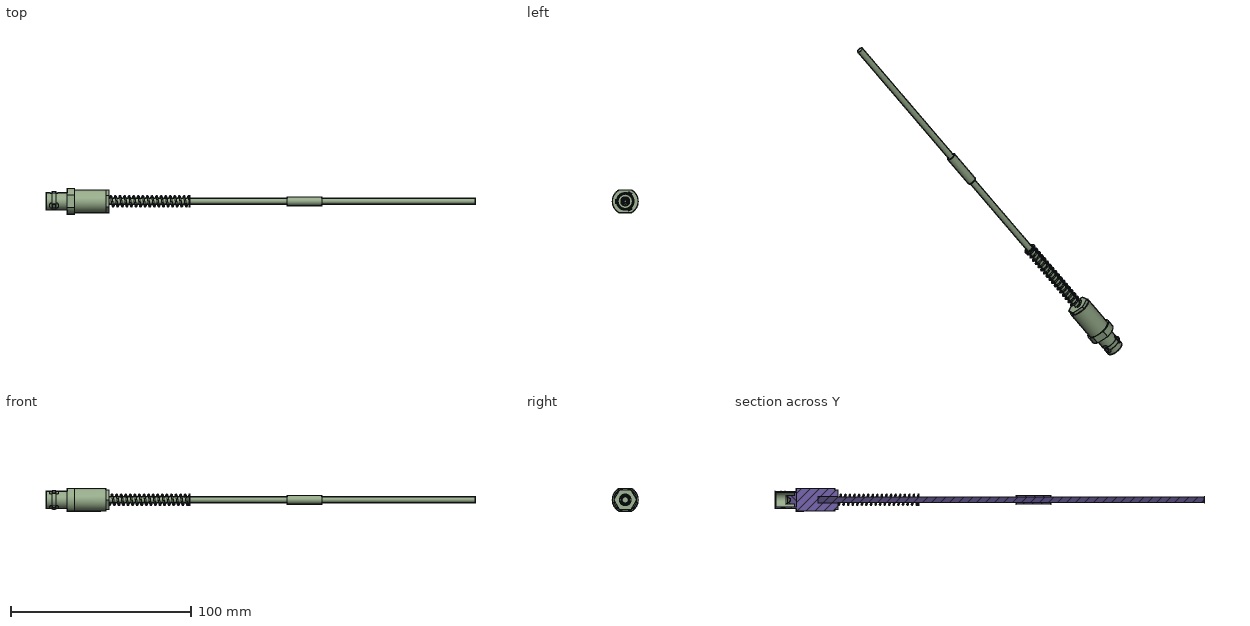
import cadquery as cq

total_length = 238.38

housing_diameter = 12.7
flange_diameter = 14.45
barrel_diameter = 9.7
flange_start = 11.6
flange_end = 15.8
housing_end = 33.2
hex_end = 34.9
hex_sides = 6

bore_diameter = 7.9
bore_chamfer = 0.35
bore_depth = flange_start
insert_diameter = 5.0
insert_front = 6.0
insert_base_thickness = 1.0
socket_diameters = (4.0, 2.8, 1.4)
socket_step = 0.8

stud_count = 3
stud_diameter = 2.2
stud_tip_radius = 5.5
stud_center = 4.35
stud_seat_diameter = 5.0
stud_seat_depth = 0.25
groove_depth = 0.15

cable_diameter = 3.5
cable_start = 24.0
sleeve_diameter = 5.0
sleeve_start = 133.8
sleeve_end = 153.2

spring_end = 80.0
spring_pitch = 2.54
wire_diameter = 0.8
ring_diameter = 6.4
ring_width = wire_diameter
ring_margin = 0.05


def tube(outer_diameter, inner_diameter, start, end):
    """Hollow cylinder on the X axis between two stations."""
    wall = (outer_diameter - inner_diameter) / 2
    wall_radius = (outer_diameter + inner_diameter) / 4
    section = cq.Workplane("XZ").center((start + end) / 2, wall_radius).rect(end - start, wall)
    return section.revolve(360, (0, -wall_radius, 0), (1, -wall_radius, 0))


def rod(diameter, start, end):
    """Solid cylinder on the X axis between two stations."""
    return tube(diameter, 0, start, end)


def radial_cylinder(diameter, inner_radius, outer_radius, angle):
    """Cylinder pointing out from the X axis at the stud station, turned from +Y by an angle."""
    cylinder = (
        cq.Workplane("XZ", origin=(stud_center, inner_radius, 0))
        .circle(diameter / 2)
        .extrude(inner_radius - outer_radius)
    )
    return cylinder.rotate((0, 0, 0), (1, 0, 0), angle)


def make_barrel():
    """Jack barrel with a chamfered mouth, a shallow groove and three bayonet studs."""
    barrel = tube(barrel_diameter, bore_diameter, 0, flange_start)
    mouth = barrel.faces("<X").edges(cq.selectors.RadiusNthSelector(0))
    barrel = mouth.chamfer(bore_chamfer)

    groove = tube(
        2 * stud_tip_radius,
        barrel_diameter - 2 * groove_depth,
        stud_center - stud_diameter / 2,
        stud_center + stud_diameter / 2,
    )
    barrel = barrel.cut(groove)

    seat_radius = barrel_diameter / 2 - stud_seat_depth
    stud_root_radius = (barrel_diameter + bore_diameter) / 4
    for i in range(stud_count):
        angle = i * 360 / stud_count
        seat = radial_cylinder(stud_seat_diameter, seat_radius, stud_tip_radius, angle)
        stud = radial_cylinder(stud_diameter, stud_root_radius, stud_tip_radius, angle)
        barrel = barrel.cut(seat).union(stud)
    return barrel


def make_flange():
    """Round flange cut by two flats level with the top and bottom of the housing."""
    length = flange_end - flange_start
    flats = cq.Workplane("XY", origin=((flange_start + flange_end) / 2, 0, 0)).box(
        length, flange_diameter, housing_diameter
    )
    return rod(flange_diameter, flange_start, flange_end).intersect(flats)


def make_rear_housing():
    """Round housing closed by a hexagonal end whose corners meet the housing diameter."""
    housing = rod(housing_diameter, flange_start, housing_end)
    hexagon = (
        cq.Workplane("YZ", origin=(housing_end, 0, 0))
        .polygon(hex_sides, housing_diameter)
        .extrude(hex_end - housing_end)
    )
    return housing.union(hexagon)


def make_connector():
    """Barrel, flange and housing in one piece, with a hole in the rear for the cable."""
    body = make_barrel().union(make_flange()).union(make_rear_housing())
    return body.cut(rod(cable_diameter, cable_start, hex_end))


def make_insert():
    """Contact insert: a base disc filling the bore and a post with a stepped socket."""
    insert = rod(bore_diameter, bore_depth - insert_base_thickness, bore_depth)
    insert = insert.union(rod(insert_diameter, insert_front, bore_depth))
    for i, diameter in enumerate(socket_diameters):
        socket_bottom = insert_front + (i + 1) * socket_step
        insert = insert.cut(rod(diameter, insert_front, socket_bottom))
    return insert


def make_spring():
    """Right-handed coil of round wire running into a plain ring at its far end."""
    coil_radius = (ring_diameter - wire_diameter) / 2 - ring_margin
    coil_start = hex_end + wire_diameter / 2
    coil_length = spring_end - ring_width / 2 - coil_start
    helix = cq.Wire.makeHelix(spring_pitch, coil_length, coil_radius)
    coil = (
        cq.Workplane("XZ", origin=(coil_radius, 0, 0))
        .circle(wire_diameter / 2)
        .sweep(cq.Workplane(helix), isFrenet=True)
        .rotate((0, 0, 0), (0, 1, 0), 90)
        .translate((coil_start, 0, 0))
    )
    ring_wall = wire_diameter + 2 * ring_margin
    ring = tube(ring_diameter, ring_diameter - 2 * ring_wall, spring_end - ring_width, spring_end)
    return coil.union(ring)


connector = make_connector()
insert = make_insert()
cable = rod(cable_diameter, cable_start, total_length)
sleeve = tube(sleeve_diameter, cable_diameter, sleeve_start, sleeve_end)
spring = make_spring()

result = cq.Compound.makeCompound(
    [connector.val(), insert.val(), cable.val(), sleeve.val(), spring.val()]
)